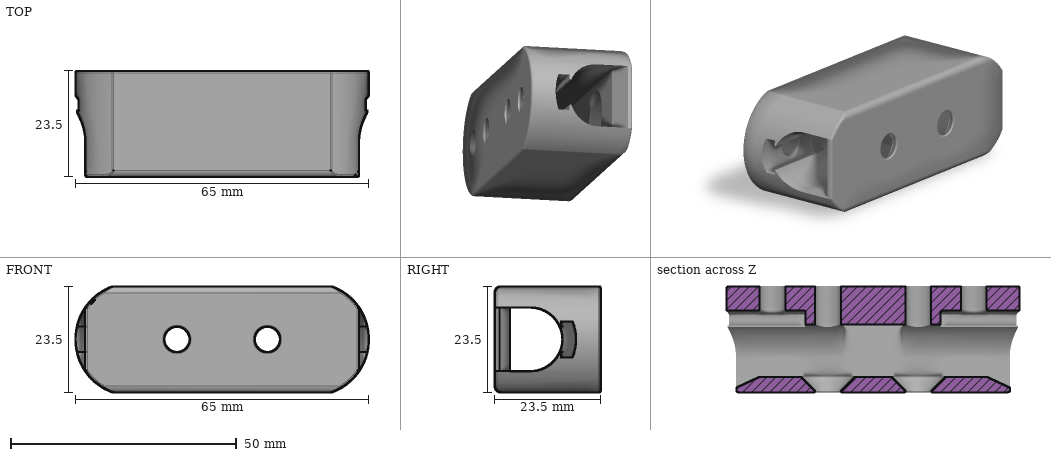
import cadquery as cq
import math

LENGTH = 65.0
SIDE = 23.5
END_RADIUS = 12.5
SHOULDER_FILLET = 1.0
FRONT_FILLET = 1.5
EDGE_FILLET = 0.5

CHANNEL_RADIUS = 7.0
CHANNEL_BACK = 3.25
SQUARE_LENGTH = 13.0

PLATE_THICKNESS = 3.45
TIP_THICKNESS = 1.1
TAPER_ANGLE = 25.0

HOLE_SPACING = 20.0
HOLE_RADIUS = 2.8
HOLE_FILLET = 0.3
HEAD_RADIUS = 5.7

KEY_RADIUS = 10.1
KEY_HEIGHT = 8.0
KEY_FRONT = 3.0
KEY_NECK_HEIGHT = 5.65
KEY_DEPTH = 17.5
KEY_FILLET = 0.25
KEY_HOLE_SPACING = 44.6
KEY_HOLE_FILLET = 0.5

SIDES = (-1, 1)

half_length = LENGTH / 2
half_side = SIDE / 2
front = -half_side
end_center = half_length - END_RADIUS
shoulder = end_center + math.sqrt(END_RADIUS**2 - half_side**2)
plate_tip = end_center + math.sqrt(END_RADIUS**2 - CHANNEL_RADIUS**2)
taper_length = (PLATE_THICKNESS - TIP_THICKNESS) / math.tan(math.radians(TAPER_ANGLE))
channel_center = CHANNEL_BACK - CHANNEL_RADIUS


def make_bar():
    """Bar with round ends and softened outer edges."""
    bar = (
        cq.Workplane("XZ")
        .moveTo(-shoulder, half_side)
        .lineTo(shoulder, half_side)
        .threePointArc((half_length, 0), (shoulder, -half_side))
        .lineTo(-shoulder, -half_side)
        .threePointArc((-half_length, 0), (-shoulder, half_side))
        .close()
        .extrude(half_side, both=True)
    )
    bar = bar.edges("|Y").fillet(SHOULDER_FILLET)
    bar = bar.edges(">Y").fillet(EDGE_FILLET)
    front_rounding = cq.Workplane("XY").box(LENGTH, SIDE, SIDE).edges("|X and <Y").fillet(FRONT_FILLET)
    return bar.intersect(front_rounding)


def make_plate():
    """Front plate, full thickness in the middle and thin at its tips."""
    inner = front + PLATE_THICKNESS
    tip = front + TIP_THICKNESS
    outline = [
        (-plate_tip, front),
        (plate_tip, front),
        (plate_tip, tip),
        (plate_tip - taper_length, inner),
        (taper_length - plate_tip, inner),
        (-plate_tip, tip),
    ]
    return cq.Workplane("XY").polyline(outline).close().extrude(half_side, both=True)


def make_channel():
    """Slot along X, open to the front everywhere except at the plate."""
    slot = (
        cq.Workplane("YZ")
        .moveTo(front, CHANNEL_RADIUS)
        .lineTo(channel_center, CHANNEL_RADIUS)
        .threePointArc((CHANNEL_BACK, 0), (channel_center, -CHANNEL_RADIUS))
        .lineTo(front, -CHANNEL_RADIUS)
        .close()
        .extrude(half_length, both=True)
    )
    square = cq.Workplane("XY").box(
        SQUARE_LENGTH, CHANNEL_RADIUS, 2 * CHANNEL_RADIUS, centered=(True, False, True)
    )
    square = square.translate((0, channel_center, 0))
    return slot.union(square).cut(make_plate())


def round_front_ends(body):
    """Fillet the front edges around both ends of the bar."""
    for side in SIDES:
        end_box = cq.selectors.BoxSelector(
            (side * (plate_tip - taper_length), front - EDGE_FILLET, -half_side),
            (side * half_length, front + EDGE_FILLET / 2, half_side),
        )
        body = body.edges(end_box).fillet(EDGE_FILLET)
    return body


def make_key(side):
    """T-shaped keyway cutter entering from one end: wide back, narrow neck to the channel."""
    middle = side * (half_length - KEY_DEPTH / 2)
    base = cq.Workplane("XY", origin=(middle, KEY_FRONT, 0))
    back_round = (
        cq.Workplane("YZ").center(channel_center, 0).circle(KEY_RADIUS).extrude(half_length, both=True)
    )
    wide = base.box(KEY_DEPTH, SIDE, KEY_HEIGHT, centered=(True, False, True)).intersect(back_round)
    inner_end = "<X" if side > 0 else ">X"
    wide = wide.edges(f"({inner_end}) or (|X and (not <Y))").fillet(KEY_FILLET)
    neck_box = (KEY_DEPTH, KEY_FRONT - channel_center + KEY_FILLET, KEY_NECK_HEIGHT)
    neck = (
        cq.Workplane("XY", origin=(middle, channel_center, 0))
        .box(*neck_box, centered=(True, False, True))
    )
    return wide.union(neck)


def make_back_hole(x):
    """Plain hole through the back wall."""
    return cq.Workplane("XZ", origin=(x, channel_center, 0)).circle(HOLE_RADIUS).extrude(-SIDE)


def make_screw_hole(x):
    """Hole with a rounded front rim, opening in a 45 degree cone to a head seat inside the plate."""
    arc_mid = HOLE_FILLET * (1 - math.sqrt(0.5))
    throat = front + HOLE_FILLET
    profile = (
        cq.Workplane("XY")
        .moveTo(x, front)
        .lineTo(x + HOLE_RADIUS + HOLE_FILLET, front)
        .threePointArc((x + HOLE_RADIUS + arc_mid, front + arc_mid), (x + HOLE_RADIUS, throat))
        .lineTo(x + HEAD_RADIUS, throat + HEAD_RADIUS - HOLE_RADIUS)
        .lineTo(x + HEAD_RADIUS, channel_center)
        .lineTo(x, channel_center)
        .close()
    )
    return profile.revolve(360, (x, front, 0), (x, 0, 0))


def cut_key(body, side):
    """Cut one keyway and its cross hole, rounding the rim where the hole meets the keyway back."""
    hole_x = side * KEY_HOLE_SPACING / 2
    body = body.cut(make_key(side)).cut(make_back_hole(hole_x))
    key_back = channel_center + KEY_RADIUS
    rim_box = cq.selectors.BoxSelector(
        (hole_x - HOLE_RADIUS, key_back - HOLE_RADIUS, -HOLE_RADIUS),
        (hole_x + HOLE_RADIUS, key_back + HOLE_FILLET, HOLE_RADIUS),
    )
    return body.edges(rim_box).edges("not %LINE").fillet(KEY_HOLE_FILLET)


result = round_front_ends(make_bar().cut(make_channel()))
for side in SIDES:
    screw_x = side * HOLE_SPACING / 2
    result = result.cut(make_screw_hole(screw_x)).cut(make_back_hole(screw_x))
    result = cut_key(result, side)